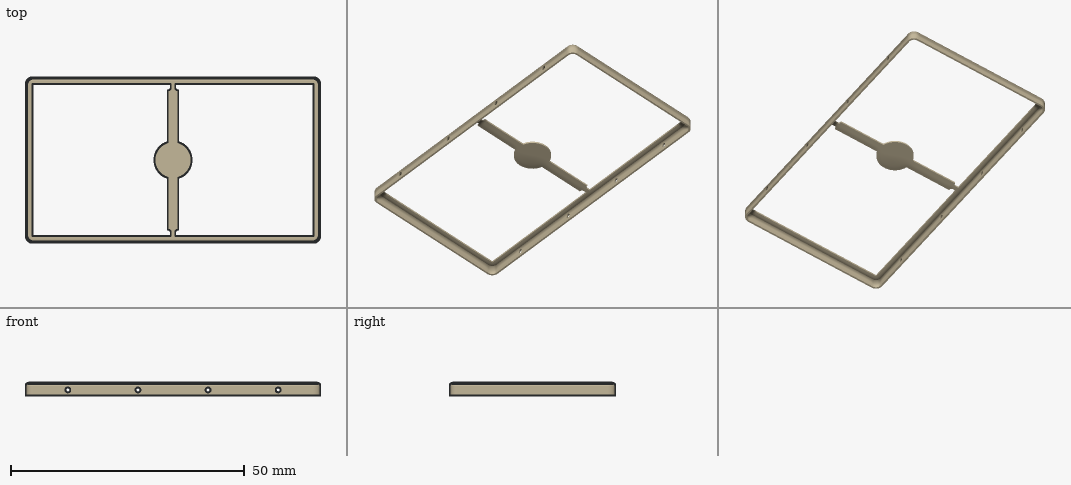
import cadquery as cq
frame_length = 63.1
frame_width = 35.5
frame_height = 2.8
rim_width = 1.5
corner_radius = 1.6
top_fillet = 0.8
opening_length = frame_length - 2 * rim_width
opening_width = frame_width - 2 * rim_width

side_wall = 0.4
lip_thickness = 0.4
recess_depth = frame_height - lip_thickness
recess_corner_radius = corner_radius - side_wall

hole_diameter = 1.0
hole_pitch = 15.0
hole_count = 4
hole_height = 1.2

bridge_thickness = lip_thickness
bridge_width = 2.3
neck_width = 1.0
neck_length = 1.3
neck_overlap = (rim_width - top_fillet) / 2
neck_fillet = 0.5
disc_diameter = 8.0


def make_frame():
    """Rectangular frame with rounded outer corners and top edge, hollowed out below its lip."""
    outer = (
        cq.Workplane("XY")
        .rect(frame_length, frame_width)
        .extrude(frame_height)
        .edges("|Z")
        .fillet(corner_radius)
        .faces(">Z")
        .edges()
        .fillet(top_fillet)
    )
    opening = cq.Workplane("XY").rect(opening_length, opening_width).extrude(frame_height)
    recess = (
        cq.Workplane("XY")
        .rect(frame_length - 2 * side_wall, frame_width - 2 * side_wall)
        .extrude(recess_depth)
        .edges("|Z")
        .fillet(recess_corner_radius)
    )
    return outer.cut(opening).cut(recess)


def make_cross_holes():
    """Row of pins along Y, long enough to pierce both long walls."""
    row_start = -hole_pitch * (hole_count - 1) / 2
    centers = [(row_start + i * hole_pitch, hole_height) for i in range(hole_count)]
    return (
        cq.Workplane("XZ")
        .pushPoints(centers)
        .circle(hole_diameter / 2)
        .extrude(frame_width / 2, both=True)
    )


def make_bridge():
    """Strip with a central disc, narrowing to a filleted neck at each long wall."""
    plane = cq.Workplane("XY").workplane(offset=recess_depth)
    neck = plane.rect(neck_width, opening_width + 2 * neck_overlap).extrude(bridge_thickness)
    strip = plane.rect(bridge_width, opening_width - 2 * neck_length).extrude(bridge_thickness)
    disc = plane.circle(disc_diameter / 2).extrude(bridge_thickness)

    shoulder_y = opening_width / 2 - neck_length
    shoulder_points = [
        (x_side * neck_width / 2, y_side * shoulder_y)
        for x_side in (-1, 1)
        for y_side in (-1, 1)
    ]
    bridge = neck.union(strip)
    for x, y in shoulder_points:
        middle = (x, y, frame_height - bridge_thickness / 2)
        bridge = bridge.edges(cq.selectors.NearestToPointSelector(middle)).fillet(neck_fillet)
    return bridge.union(disc)


result = make_frame().cut(make_cross_holes()).union(make_bridge())